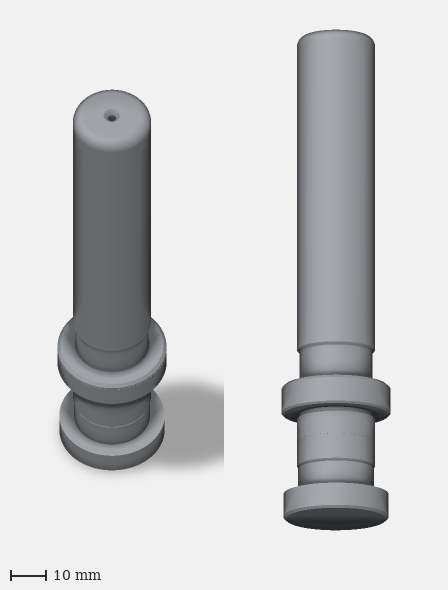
import cadquery as cq

total_height = 140.0

flange_radius = 29.8 / 2
flange_height = 7.1
flange_chamfer = 0.7
hub_radius = 21.4 / 2
joint_z = 14.5

shank_radius = 11.0
seat_relief = 0.07
seat_radius = shank_radius - seat_relief
neck_radius = 10.4
collar_radius = 31.0 / 2
collar_relief = 0.07
collar_upper_radius = collar_radius - collar_relief

fit_z = 22.4
seat_top_z = 29.4
collar_bottom_z = 30.2
collar_step_z = 37.1
collar_top_z = 38.5
shank_bottom_z = 48.3

seat_lead_in = 0.7
seat_top_chamfer = 0.5
collar_chamfer = 0.5
collar_top_chamfer = 0.8
neck_fillet = 0.7
shank_chamfer = 0.7
nose_radius = 3.1

center_radius = 2.4
pilot_radius = 1.1
cone_depth = center_radius - pilot_radius
pilot_depth = 4.2


def make_retainer():
    """Flange and hub, with a chamfered lower rim."""
    flange = cq.Workplane("XY").circle(flange_radius).extrude(flange_height)
    flange = flange.faces("<Z").chamfer(flange_chamfer)
    hub = cq.Workplane("XY").circle(hub_radius).extrude(joint_z)
    return flange.union(hub)


def make_pillar_blank():
    """Revolve the seat, collar, necks and rounded shank in one profile."""
    nose_center_z = total_height - nose_radius
    nose_center_r = shank_radius - nose_radius
    nose_offset = nose_radius * 0.5 ** 0.5
    neck_fillet_center_r = neck_radius + neck_fillet
    neck_fillet_center_z = collar_top_z + neck_fillet
    fillet_offset = neck_fillet * 0.5 ** 0.5
    return (
        cq.Workplane("XZ")
        .moveTo(0, joint_z)
        .lineTo(seat_radius - seat_lead_in, joint_z)
        .lineTo(seat_radius, joint_z + seat_lead_in)
        .lineTo(seat_radius, fit_z)
        .lineTo(shank_radius, fit_z)
        .lineTo(shank_radius, seat_top_z - seat_top_chamfer)
        .lineTo(neck_radius, seat_top_z)
        .lineTo(neck_radius, collar_bottom_z)
        .lineTo(collar_radius - collar_chamfer, collar_bottom_z)
        .lineTo(collar_radius, collar_bottom_z + collar_chamfer)
        .lineTo(collar_radius, collar_step_z)
        .lineTo(collar_upper_radius, collar_step_z)
        .lineTo(collar_upper_radius, collar_top_z - collar_top_chamfer)
        .lineTo(collar_upper_radius - collar_top_chamfer, collar_top_z)
        .lineTo(neck_fillet_center_r, collar_top_z)
        .threePointArc(
            (neck_fillet_center_r - fillet_offset, neck_fillet_center_z - fillet_offset),
            (neck_radius, neck_fillet_center_z),
        )
        .lineTo(neck_radius, shank_bottom_z)
        .lineTo(shank_radius, shank_bottom_z + shank_chamfer)
        .lineTo(shank_radius, nose_center_z)
        .threePointArc(
            (nose_center_r + nose_offset, nose_center_z + nose_offset),
            (nose_center_r, total_height),
        )
        .lineTo(0, total_height)
        .close()
        .revolve(360, (0, 0, 0), (0, 1, 0))
    )


def make_center_hole():
    """Cutter for the countersunk center hole."""
    return (
        cq.Workplane("XZ")
        .moveTo(0, total_height)
        .lineTo(center_radius, total_height)
        .lineTo(pilot_radius, total_height - cone_depth)
        .lineTo(pilot_radius, total_height - pilot_depth)
        .lineTo(0, total_height - pilot_depth)
        .close()
        .revolve(360, (0, 0, 0), (0, 1, 0))
    )


retainer = make_retainer()
pillar = make_pillar_blank().cut(make_center_hole())

result = cq.Compound.makeCompound([retainer.val(), pillar.val()])